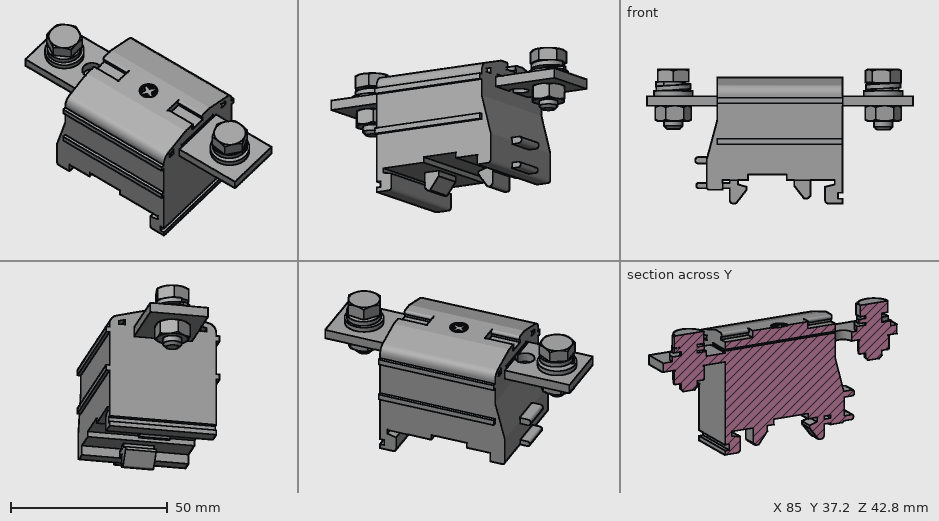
import cadquery as cq
import math


bar_length = 85.0
bar_width = 18.95
bar_thickness = 3.15
bar_bottom = 31.2
bar_top = bar_bottom + bar_thickness
bar_hole_diameter = 6.1
bar_hole_x = -22.95

block_left = -20.1
block_right = 20.0
block_length = block_right - block_left
foot_left = -23.5
block_half_width = 17.5
roof_z = 40.3
roof_half_width = 6.3
roof_slope = 15.0
roof_fillet = 3.15
slope_top_z = 26.7
slope_bottom_z = 13.9
heel_bottom_z = 4.3
heel_right = -18.4
heel_fillet = 1.0
rail_seat_z = 7.5
rail_groove_z = 9.3
rail_groove_left = -10.2
rail_groove_right = 2.1

hook_left = 14.4
hook_inner_x = 17.4
hook_tip_z = 5.35
hook_root_z = 6.1
hook_fillet = 1.0
hook_notch_x = 18.5
hook_notch_bottom = 1.5
hook_notch_top = 3.4

rib_reach = 18.6
rib_height = 1.8
rib_bottoms = (18.95, 32.05)

parting_z = 35.0
tunnel_inner_y = 12.3
tunnel_outer_y = 14.45
tunnel_inner_height = 1.7
slit_half_width = 8.2
slit_height = 0.3

pocket_inner_left = -10.2
pocket_inner_right = 10.0
pocket_depth = 2.3
pocket_half_width = 2.7
lip_half_gap = 2.2
lip_radius = 0.8

screw_top_diameter = 5.8
screw_floor_diameter = 5.1
screw_depth = 0.3
screw_pad_height = 0.25
screw_pad_taper = 45.0
screw_pad_radius = 2.5
screw_pad_first_angle = 15.0
cross_arm_half_width = 0.4
cross_core_radius = 1.1

clip_width = 10.0
tab_left = -27.1
tab_bottom = 12.75
tab_height = 2.1
slider_left = -26.8
slider_bottom = 4.85
slider_height = 1.8
claw_left = -16.1
claw_right = -10.6
claw_neck_x = -13.35
claw_toe_x = -14.0
claw_tip_height = 0.9
claw_heel_fillet = 1.0
claw_toe_fillet = 0.7
tooth_left = 4.5
tooth_right = 9.8
tooth_bottom = 1.5
tooth_shoulder_z = 5.7
tooth_flat_left = 7.7
tooth_flat_right = 8.75
tooth_side_z = 2.5

hex_across_flats = 10.0
hex_corner_diameter = hex_across_flats / math.cos(math.radians(30))
hex_chamfer_angle = 30.0
head_top = 42.8
nut_height = 4.85
shank_diameter = 6.0
shank_length = 15.05
shank_chamfer = 1.0
washer_diameter = 12.5
washer_thickness = 1.6
washer_top = bar_top + washer_thickness
spring_diameter = 11.05
spring_bore = 5.6
spring_thickness = 1.5
spring_sweep = 354.0
spring_bite = 0.04

overlap = 0.4

bolts = (
    (-34.1, 38.85, 30.0, 5.0, 185.0),
    (33.0, 38.6, -8.0, 5.0, 25.0),
)


def plate_y(outline, width):
    """Extrude an X-Z outline by width, centred on Y = 0."""
    return outline.extrude(width / 2, both=True)


def x_prism(points, start, length):
    """Extrude a closed Y-Z outline along X."""
    return cq.Workplane("YZ", origin=(start, 0, 0)).polyline(points).close().extrude(length)


def box(x0, x1, y0, y1, z0, z1):
    return cq.Workplane("XY").box(x1 - x0, y1 - y0, z1 - z0, centered=False).translate((x0, y0, z0))


def side_profile():
    """Block seen along Y, with the rail seat and the fixed hook."""
    outline = cq.Workplane("XZ").polyline([
        (block_left, roof_z),
        (block_left, slope_top_z),
        (foot_left, slope_bottom_z),
        (foot_left, heel_bottom_z),
        (heel_right, heel_bottom_z),
        (heel_right, rail_seat_z),
        (rail_groove_left, rail_seat_z),
        (rail_groove_left, rail_groove_z),
        (rail_groove_right, rail_groove_z),
        (rail_groove_right, rail_seat_z),
        (hook_inner_x, rail_seat_z),
        (hook_inner_x, hook_root_z),
        (hook_left, hook_tip_z),
        (hook_left, 0),
        (block_right, 0),
        (block_right, hook_notch_bottom),
        (hook_notch_x, hook_notch_bottom),
        (hook_notch_x, hook_notch_top),
        (block_right, hook_notch_top),
        (block_right, roof_z),
    ]).close()
    body = plate_y(outline, 2 * block_half_width)
    heel_edge = cq.selectors.NearestToPointSelector((foot_left, 0, heel_bottom_z))
    hook_edge = cq.selectors.NearestToPointSelector((hook_left, 0, 0))
    return body.edges(heel_edge).fillet(heel_fillet).edges(hook_edge).fillet(hook_fillet)


def roof_profile():
    """Block seen along X: flat ridge, sloping roof, rounded eaves."""
    eaves_drop = (block_half_width - roof_half_width) * math.tan(math.radians(roof_slope))
    eaves_z = roof_z - eaves_drop
    points = [
        (-block_half_width, 0),
        (block_half_width, 0),
        (block_half_width, eaves_z),
        (roof_half_width, roof_z),
        (-roof_half_width, roof_z),
        (-block_half_width, eaves_z),
    ]
    shape = x_prism(points, foot_left, block_right - foot_left)
    for side in (-1, 1):
        eaves = cq.selectors.NearestToPointSelector(
            ((foot_left + block_right) / 2, side * block_half_width, eaves_z))
        shape = shape.edges(eaves).fillet(roof_fillet)
    return shape


def tunnels():
    """Two sloped-top tunnels and the thin slit between them, right through along X."""
    roof_drop = (tunnel_outer_y - tunnel_inner_y) * math.tan(math.radians(roof_slope))
    outer_height = tunnel_inner_height - roof_drop
    cuts = box(block_left, block_right, -slit_half_width, slit_half_width, parting_z, parting_z + slit_height)
    for side in (-1, 1):
        points = [
            (side * tunnel_inner_y, parting_z),
            (side * tunnel_outer_y, parting_z),
            (side * tunnel_outer_y, parting_z + outer_height),
            (side * tunnel_inner_y, parting_z + tunnel_inner_height),
        ]
        cuts = cuts.union(x_prism(points, block_left, block_length))
    return cuts


def label_pocket(start, length):
    """Channel under two rounded lips, open at the roof."""
    lip_z = roof_z - lip_radius
    floor_z = roof_z - pocket_depth
    rim_half_width = lip_half_gap + lip_radius
    under_lip_z = lip_z - math.sqrt(lip_radius ** 2 - (rim_half_width - pocket_half_width) ** 2)
    return (
        cq.Workplane("YZ", origin=(start, 0, 0))
        .moveTo(-pocket_half_width, floor_z)
        .lineTo(pocket_half_width, floor_z)
        .lineTo(pocket_half_width, under_lip_z)
        .threePointArc((lip_half_gap, lip_z), (rim_half_width, roof_z))
        .lineTo(-rim_half_width, roof_z)
        .threePointArc((-lip_half_gap, lip_z), (-pocket_half_width, under_lip_z))
        .close()
        .extrude(length)
    )


def screw_recess():
    """Shallow conical recess with four pads left standing around a cross."""
    floor_z = roof_z - screw_depth
    cone = (
        cq.Workplane("XY", origin=(0, 0, floor_z))
        .circle(screw_floor_diameter / 2)
        .workplane(offset=screw_depth)
        .circle(screw_top_diameter / 2)
        .loft()
    )
    reach = math.sqrt(screw_pad_radius ** 2 - cross_arm_half_width ** 2)
    middle = math.sqrt(0.5)
    pad = (
        cq.Workplane("XY", origin=(0, 0, floor_z))
        .moveTo(reach, cross_arm_half_width)
        .threePointArc((screw_pad_radius * middle, screw_pad_radius * middle), (cross_arm_half_width, reach))
        .lineTo(cross_core_radius * middle, cross_core_radius * middle)
        .close()
        .extrude(screw_pad_height, taper=screw_pad_taper)
    )
    for quarter in range(4):
        turn = screw_pad_first_angle - 45 + 90 * quarter
        cone = cone.cut(pad.rotate((0, 0, 0), (0, 0, 1), turn))
    return cone


def round_nosed_tongue(left, right, bottom, height):
    """Flat tongue along X with a full half-round nose on its left end."""
    radius = height / 2
    outline = (
        cq.Workplane("XZ")
        .moveTo(left + radius, bottom)
        .lineTo(right, bottom)
        .lineTo(right, bottom + height)
        .lineTo(left + radius, bottom + height)
        .threePointArc((left, bottom + radius), (left + radius, bottom))
        .close()
    )
    return plate_y(outline, clip_width)


def upper_tab():
    return round_nosed_tongue(tab_left, foot_left + overlap, tab_bottom, tab_height)


def sliding_foot():
    """Tongue through the heel of the block, ending in a claw under the rail."""
    tongue = round_nosed_tongue(slider_left, claw_left + overlap, slider_bottom, slider_height)
    outline = cq.Workplane("XZ").polyline([
        (claw_left, rail_seat_z + overlap),
        (claw_neck_x, rail_seat_z + overlap),
        (claw_neck_x, hook_root_z),
        (claw_right, hook_tip_z),
        (claw_right, hook_tip_z - claw_tip_height),
        (claw_toe_x, 0),
        (claw_left, 0),
    ]).close()
    heel_edge = cq.selectors.NearestToPointSelector((claw_left, 0, 0))
    toe_edge = cq.selectors.NearestToPointSelector((claw_toe_x, 0, 0))
    claw = plate_y(outline, clip_width)
    claw = claw.edges(heel_edge).fillet(claw_heel_fillet)
    claw = claw.edges(toe_edge).fillet(claw_toe_fillet)
    return tongue.union(claw)


def locating_tooth():
    outline = cq.Workplane("XZ").polyline([
        (tooth_left, rail_seat_z + overlap),
        (tooth_right, rail_seat_z + overlap),
        (tooth_right, tooth_side_z),
        (tooth_flat_right, tooth_bottom),
        (tooth_flat_left, tooth_bottom),
        (tooth_left, tooth_shoulder_z),
    ]).close()
    return plate_y(outline, clip_width)


def chamfered_hex(bottom, height, turn, chamfer_bottom):
    """Hexagon with conical corner chamfers on top and, if wanted, underneath."""
    corner = hex_corner_diameter / 2
    flat = hex_across_flats / 2
    drop = (corner - flat) * math.tan(math.radians(hex_chamfer_angle))
    top = bottom + height
    prism = (
        cq.Workplane("XY", origin=(0, 0, bottom))
        .polygon(6, hex_corner_diameter)
        .extrude(height)
        .rotate((0, 0, 0), (0, 0, 1), turn)
    )
    rim = [(flat, top), (corner, top - drop)]
    if chamfer_bottom:
        rim += [(corner, bottom + drop), (flat, bottom)]
    else:
        rim += [(corner, bottom)]
    half_section = cq.Workplane("XZ").polyline([(0, bottom), (0, top)] + rim).close()
    envelope = half_section.revolve(360, (0, 0, 0), (0, 1, 0))
    return prism.intersect(envelope)


def spring_washer(top, start_angle):
    """Split ring rising anticlockwise from the flat washer to the bolt head."""
    rise = top - washer_top - spring_thickness + 2 * spring_bite
    mean_radius = (spring_diameter + spring_bore) / 4
    path = cq.Wire.makeHelix(rise * 360 / spring_sweep, rise, mean_radius)
    ring = (
        cq.Workplane("XZ")
        .center(mean_radius, spring_thickness / 2)
        .rect((spring_diameter - spring_bore) / 2, spring_thickness)
        .sweep(cq.Workplane(obj=path), isFrenet=True)
    )
    return ring.translate((0, 0, washer_top - spring_bite)).rotate((0, 0, 0), (0, 0, 1), start_angle)


def bolted_joint(x, head_bottom, head_turn, nut_turn, spring_angle):
    shank = (
        cq.Workplane("XY", origin=(0, 0, head_bottom - shank_length))
        .circle(shank_diameter / 2)
        .extrude(shank_length)
        .faces("<Z")
        .chamfer(shank_chamfer)
    )
    washer = cq.Workplane("XY", origin=(0, 0, bar_top)).circle(washer_diameter / 2).extrude(washer_thickness)
    joint = (
        shank
        .union(chamfered_hex(head_bottom, head_top - head_bottom, head_turn, False))
        .union(chamfered_hex(bar_bottom - nut_height, nut_height, nut_turn, True))
        .union(washer)
        .union(spring_washer(head_bottom, spring_angle))
    )
    return joint.translate((x, 0, 0))


block = side_profile().intersect(roof_profile())
for rib_bottom in rib_bottoms:
    block = block.union(
        box(block_left, block_right, -rib_reach, rib_reach, rib_bottom, rib_bottom + rib_height))
block = block.cut(tunnels())
block = block.cut(label_pocket(block_left, pocket_inner_left - block_left))
block = block.cut(label_pocket(pocket_inner_right, block_right - pocket_inner_right))
block = block.cut(screw_recess())

bar = box(-bar_length / 2, bar_length / 2, -bar_width / 2, bar_width / 2, bar_bottom, bar_top)
bar_hole = (
    cq.Workplane("XY", origin=(bar_hole_x, 0, bar_bottom))
    .circle(bar_hole_diameter / 2)
    .extrude(bar_thickness)
)

result = block.union(bar.cut(bar_hole)).union(upper_tab()).union(sliding_foot()).union(locating_tooth())
for bolt in bolts:
    result = result.union(bolted_joint(*bolt))